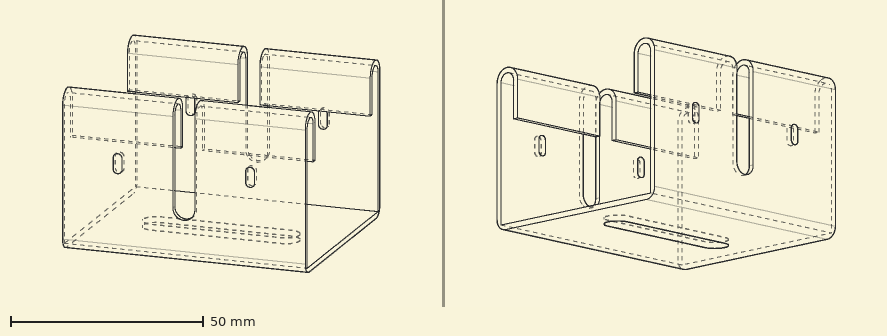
import cadquery as cq

length = 67.0
overall_width = 57.7
overall_height = 43.2

pad_rise = 0.1
sheet = 1.5
width = overall_width - 2 * pad_rise
top = overall_height - pad_rise
half_width = width / 2
corner_radius = 3.0
hook_radius = 3.75
hook_drop = 14.1

slot_width = 6.0
slot_depth = 31.6

base_pad_length = 43.15
base_pad_width = 7.25
wall_pad_width = 2.4
wall_pad_height = 5.4
wall_pad_corner = 1.15
wall_pad_spacing = 36.6
wall_pad_z = top - 18.1
pad_thickness = sheet + 2 * pad_rise


def make_base():
    """Floor and both walls: round outside corners, sharp inside corners."""
    outer = (
        cq.Workplane("XY")
        .box(length, width, top - hook_radius, centered=(True, True, False))
        .edges("|X and <Z")
        .fillet(corner_radius)
    )
    inner = (
        cq.Workplane("XY", origin=(0, 0, sheet))
        .box(length, width - 2 * sheet, top, centered=(True, True, False))
    )
    return outer.cut(inner)


def make_hook(side):
    """Inward hook along one wall; side is -1 or +1 along Y."""
    bend_z = top - hook_radius
    tip_z = top - hook_drop
    outside = side * half_width
    wall_inside = side * (half_width - sheet)
    lip_outside = side * (half_width - 2 * hook_radius)
    lip_inside = side * (half_width - 2 * hook_radius + sheet)
    middle = side * (half_width - hook_radius)
    return (
        cq.Workplane("YZ", origin=(-length / 2, 0, 0))
        .moveTo(outside, bend_z)
        .threePointArc((middle, top), (lip_outside, bend_z))
        .lineTo(lip_outside, tip_z)
        .lineTo(lip_inside, tip_z)
        .lineTo(lip_inside, bend_z)
        .threePointArc((middle, top - sheet), (wall_inside, bend_z))
        .close()
        .extrude(length)
    )


def make_wall_slots():
    """Round-bottomed cutter that passes through both walls and hooks."""
    slot_radius = slot_width / 2
    slot_bottom = top - slot_depth
    return (
        cq.Workplane("XZ")
        .moveTo(-slot_radius, top)
        .lineTo(-slot_radius, slot_bottom + slot_radius)
        .threePointArc((0, slot_bottom), (slot_radius, slot_bottom + slot_radius))
        .lineTo(slot_radius, top)
        .close()
        .extrude(half_width, both=True)
    )


def make_base_pad():
    """Long rounded pad, slightly proud of both faces of the floor."""
    return (
        cq.Workplane("XY", origin=(0, 0, -pad_rise))
        .slot2D(base_pad_length, base_pad_width)
        .extrude(pad_thickness)
    )


def make_wall_pad(x, side):
    """Small rounded pad, slightly proud of both faces of a wall."""
    return (
        cq.Workplane("XY")
        .box(wall_pad_width, pad_thickness, wall_pad_height)
        .edges("|Y")
        .fillet(wall_pad_corner)
        .translate((x, side * (half_width - sheet / 2), wall_pad_z))
    )


body = make_base()
for side in (-1, 1):
    body = body.union(make_hook(side))
body = body.cut(make_wall_slots())

body = body.union(make_base_pad())
for side in (-1, 1):
    for x in (-wall_pad_spacing / 2, wall_pad_spacing / 2):
        body = body.union(make_wall_pad(x, side))

result = body